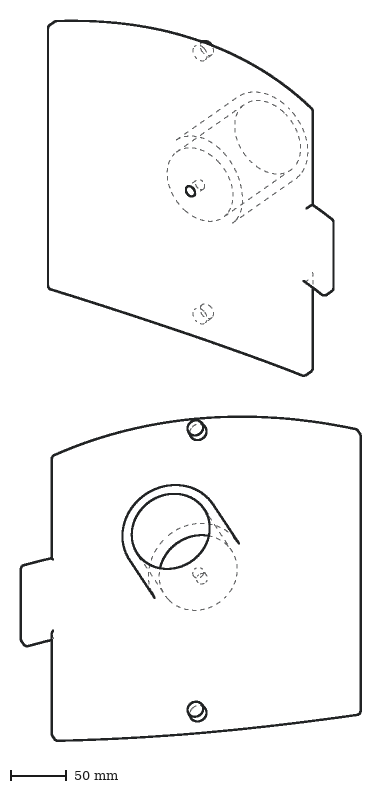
import cadquery as cq

half_width = 141.8
tab_end_x = 173.2
tab_height = 75.0
plate_height = 300.0
edge_arc_radius = 700.0
thickness = 15.0
front_radius = 409.5
edge_fillet = 4.0

tube_diameter = 90.0
bore_diameter = 72.0
tube_length = 105.8
tube_end_fillet = 2.0
base_fillet = 7.5

hole_diameter = 10.0
pin_base_diameter = 16.0
pin_tip_diameter = 14.5
pin_length = 10.7
pin_offset_z = 135.5

back_radius = front_radius + thickness
tube_end_y = thickness + tube_length
half_height = plate_height / 2
edge_drop = edge_arc_radius - (edge_arc_radius**2 - half_width**2) ** 0.5
corner_z = half_height - edge_drop


def y_cylinder(diameter, start_y, end_y):
    """Cylinder along +Y on the X = Z = 0 axis."""
    plane = cq.Workplane("XZ", origin=(0, start_y, 0))
    return plane.circle(diameter / 2).extrude(start_y - end_y)


def vertical_cylinder(radius):
    """Full-height cylinder on the plate's axis of curvature."""
    plane = cq.Workplane("XY", origin=(0, -front_radius, -half_height))
    return plane.circle(radius).extrude(plate_height)


def make_plate():
    """Bowed outline with a side tab, cut from a cylindrical shell and rounded."""
    blank = (
        cq.Workplane("XZ", origin=(0, -front_radius, 0))
        .moveTo(-half_width, -corner_z)
        .threePointArc((0, -half_height), (half_width, -corner_z))
        .lineTo(half_width, -tab_height / 2)
        .lineTo(tab_end_x, -tab_height / 2)
        .lineTo(tab_end_x, tab_height / 2)
        .lineTo(half_width, tab_height / 2)
        .lineTo(half_width, corner_z)
        .threePointArc((0, half_height), (-half_width, corner_z))
        .close()
        .extrude(-(front_radius + tube_end_y))
    )
    shell = vertical_cylinder(back_radius).cut(vertical_cylinder(front_radius))
    plate = blank.intersect(shell)
    corner_reach = tab_height / 2 + edge_fillet
    inner_corners = cq.selectors.BoxSelector(
        (half_width - edge_fillet, -front_radius, -corner_reach),
        (half_width + edge_fillet, tube_end_y, corner_reach),
        boundingbox=True,
    )
    rounded_edges = plate.edges(cq.selectors.InverseSelector(inner_corners))
    return rounded_edges.fillet(edge_fillet)


def add_tube(plate):
    """Add the tube, blending its base into the back of the plate."""
    mid_y = thickness / 2
    tube = y_cylinder(tube_diameter, mid_y, tube_end_y)
    tube = tube.faces(">Y").edges().fillet(tube_end_fillet)
    body = plate.union(tube)
    reach = tube_diameter / 2 + edge_fillet
    base_edges = cq.selectors.BoxSelector(
        (-reach, 0, -reach), (reach, tube_end_y - base_fillet, reach), boundingbox=True
    )
    return body.edges(base_edges).fillet(base_fillet)


def make_pin(z):
    """Tapered pin rooted inside the plate and projecting from its back."""
    root_y = thickness / 2
    tip_y = thickness + pin_length
    return (
        cq.Workplane("XZ", origin=(0, root_y, z))
        .circle(pin_base_diameter / 2)
        .workplane(offset=root_y - tip_y)
        .circle(pin_tip_diameter / 2)
        .loft()
    )


result = add_tube(make_plate())
for side in (-1, 1):
    result = result.union(make_pin(side * pin_offset_z))
result = result.cut(y_cylinder(bore_diameter, thickness, tube_end_y))
result = result.cut(y_cylinder(hole_diameter, -thickness, 2 * thickness))